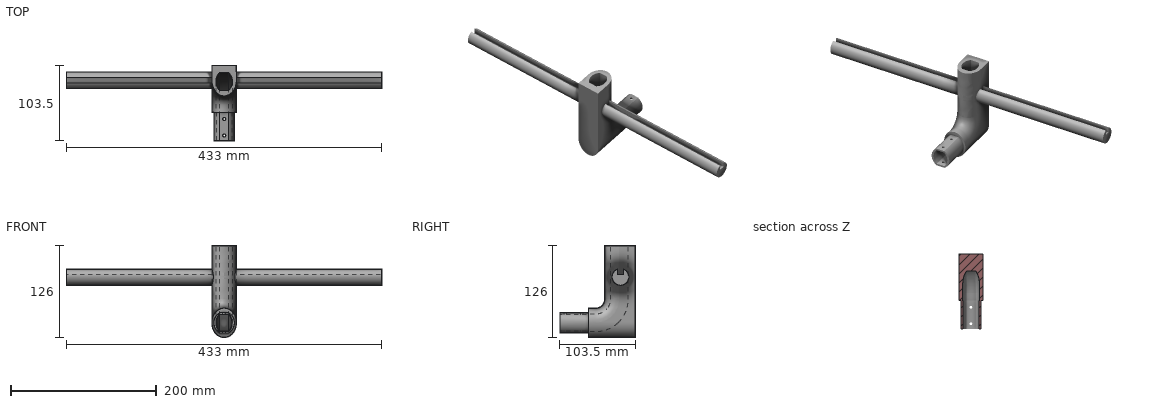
import cadquery as cq

ROD_LENGTH = 433
ROD_DIAMETER = 23.0
ROD_Y = -20.5
ROD_Z = 83.0
SLOT_WIDTH = 8.0
SLOT_FLOOR = 3.0

BODY_HEIGHT = 126.0
BODY_WIDTH = 33.8
OVAL_DEPTH = 40.3
TUBE_Y = -22.0
BEND_RADIUS = 32.0
COLLAR_LENGTH = 10.5

FLAT_WIDTH = 12.0
SPIGOT_LENGTH = 39
SPIGOT_WIDTH = 28.0
SPIGOT_HEIGHT = 27.5
SPIGOT_BORE_WIDTH = 21.5
SPIGOT_BORE_HEIGHT = 22.5
TUBE_BORE_WIDTH = 23.0
TUBE_BORE_DEPTH = 24.2

PIN_DIAMETER = 4.0
PIN_OFFSETS = (7.5, 30.0)

half_oval = OVAL_DEPTH / 2
arm_z = half_oval
bend_y = TUBE_Y - BEND_RADIUS
bend_z = arm_z + BEND_RADIUS
collar_y = bend_y - COLLAR_LENGTH
front_y = collar_y - SPIGOT_LENGTH

def oval(plane):
    return plane.ellipse(BODY_WIDTH / 2, half_oval)

def flatted_round(plane, width, height):
    """Outline with bulging sides and two parallel flats."""
    x = FLAT_WIDTH / 2
    y = height / 2
    return (
        plane.moveTo(-x, -y)
        .lineTo(x, -y)
        .threePointArc((width / 2, 0), (x, y))
        .lineTo(-x, y)
        .threePointArc((-width / 2, 0), (-x, -y))
        .close()
    )

def tube_bore_section(plane):
    return flatted_round(plane, TUBE_BORE_WIDTH, TUBE_BORE_DEPTH)

def arm_plane(y):
    """Plane across the forward arm, facing -Y."""
    return cq.Workplane("XZ", origin=(0, y, arm_z))

def bent_tube(section):
    """Carry a section down the upright, round the bend and out to the collar face."""
    start = cq.Workplane("XY", origin=(0, TUBE_Y, bend_z))
    upright = section(start).extrude(BODY_HEIGHT - bend_z)
    bend = section(start).revolve(90, (0, -BEND_RADIUS, 0), (-1, -BEND_RADIUS, 0))
    collar = section(arm_plane(bend_y)).extrude(COLLAR_LENGTH)
    return upright.union(bend).union(collar)

def backing_web():
    """Flat-sided filling behind the bend centreline, with a half-oval underside."""
    web = (
        cq.Workplane("YZ")
        .moveTo(0, arm_z)
        .lineTo(0, BODY_HEIGHT)
        .lineTo(TUBE_Y, BODY_HEIGHT)
        .lineTo(TUBE_Y, bend_z)
        .radiusArc((bend_y, arm_z), BEND_RADIUS)
        .close()
        .extrude(BODY_WIDTH / 2, both=True)
    )
    underside = (
        arm_plane(0)
        .ellipseArc(BODY_WIDTH / 2, half_oval, 180, 360, startAtCurrent=False)
        .close()
        .extrude(-bend_y)
    )
    return web.union(underside)

def crossbar():
    rod = (
        cq.Workplane("YZ", origin=(-ROD_LENGTH / 2, ROD_Y, ROD_Z))
        .circle(ROD_DIAMETER / 2)
        .extrude(ROD_LENGTH)
    )
    slot = cq.Workplane("XY", origin=(0, ROD_Y, ROD_Z + SLOT_FLOOR)).box(
        ROD_LENGTH, SLOT_WIDTH, ROD_DIAMETER, centered=(True, True, False)
    )
    return rod.cut(slot)

def spigot():
    return flatted_round(arm_plane(collar_y), SPIGOT_WIDTH, SPIGOT_HEIGHT).extrude(SPIGOT_LENGTH)

def spigot_bore():
    return flatted_round(
        arm_plane(collar_y), SPIGOT_BORE_WIDTH, SPIGOT_BORE_HEIGHT
    ).extrude(SPIGOT_LENGTH)

def pin_holes():
    return (
        cq.Workplane("XY", origin=(0, front_y, 0))
        .pushPoints([(0, offset) for offset in PIN_OFFSETS])
        .circle(PIN_DIAMETER / 2)
        .extrude(OVAL_DEPTH)
    )

solid_body = bent_tube(oval)
for member in (backing_web(), spigot(), crossbar()):
    solid_body = solid_body.union(member)

result = solid_body
for opening in (bent_tube(tube_bore_section), spigot_bore(), pin_holes()):
    result = result.cut(opening)